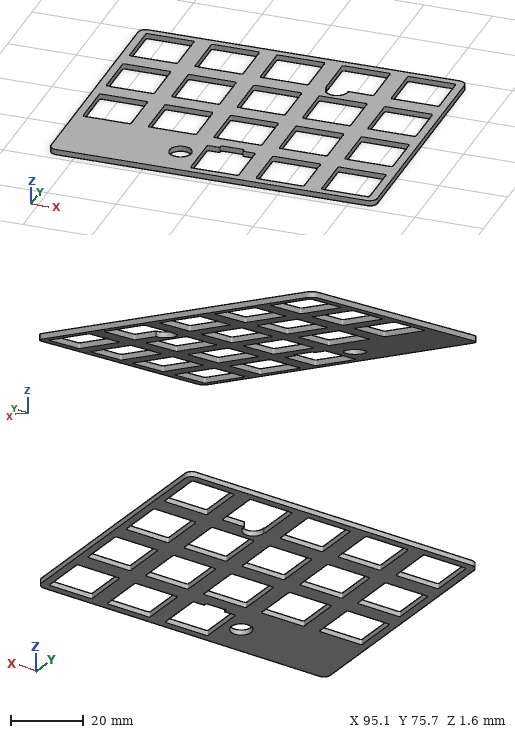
import cadquery as cq

plate_length = 95.1
plate_width = 75.7
plate_thickness = 1.6
plate_corner_radius = 2.2

columns = 5
rows = 4
first_to_last_column = 76.2
key_pitch = first_to_last_column / (columns - 1)
key_opening = 14.0
opening_corner_radius = 0.5

inlay_keys = 2

tab_height = 1.0
wide_tab_left = -43.9
wide_tab_right = -34.6
narrow_tab_width = 6.75
inlay_narrow_tab_x = -16.5

hole_diameter = 6.4
hole_centers = [(-12.7, -27.5), (15.5, 21.3)]


def key_x(column):
    return (column - (columns - 1) / 2) * key_pitch


def key_y(row):
    return (row - (rows - 1) / 2) * key_pitch


def rounded_block(left, right, front, back, corner_radius):
    """Block of plate thickness with rounded vertical edges."""
    return (
        cq.Workplane("XY")
        .center((left + right) / 2, (front + back) / 2)
        .rect(right - left, back - front)
        .extrude(plate_thickness)
        .edges("|Z")
        .fillet(corner_radius)
    )


def key_block(first_column, last_column, row):
    """Block filling the opening that spans the given columns of a row."""
    half = key_opening / 2
    left = key_x(first_column) - half
    right = key_x(last_column) + half
    return rounded_block(left, right, key_y(row) - half, key_y(row) + half, opening_corner_radius)


def tab_block(left, right):
    """Block from the middle of the front row to the back edge of a tab."""
    back = key_y(0) + key_opening / 2 + tab_height
    return rounded_block(left, right, key_y(0), back, opening_corner_radius)


def narrow_tab_block(center_x):
    return tab_block(center_x - narrow_tab_width / 2, center_x + narrow_tab_width / 2)


plate = rounded_block(
    -plate_length / 2, plate_length / 2, -plate_width / 2, plate_width / 2, plate_corner_radius
)

for row in range(rows):
    first_open_column = inlay_keys if row == 0 else 0
    for column in range(first_open_column, columns):
        plate = plate.cut(key_block(column, column, row))

plate = plate.cut(narrow_tab_block(key_x(columns // 2)))

inlay = key_block(0, inlay_keys - 1, 0)
inlay = inlay.union(tab_block(wide_tab_left, wide_tab_right))
inlay = inlay.union(narrow_tab_block(inlay_narrow_tab_x))
plate = plate.cut(inlay).union(inlay, clean=False)

holes = cq.Workplane("XY").pushPoints(hole_centers).circle(hole_diameter / 2).extrude(plate_thickness)
result = plate.cut(holes, clean=False)